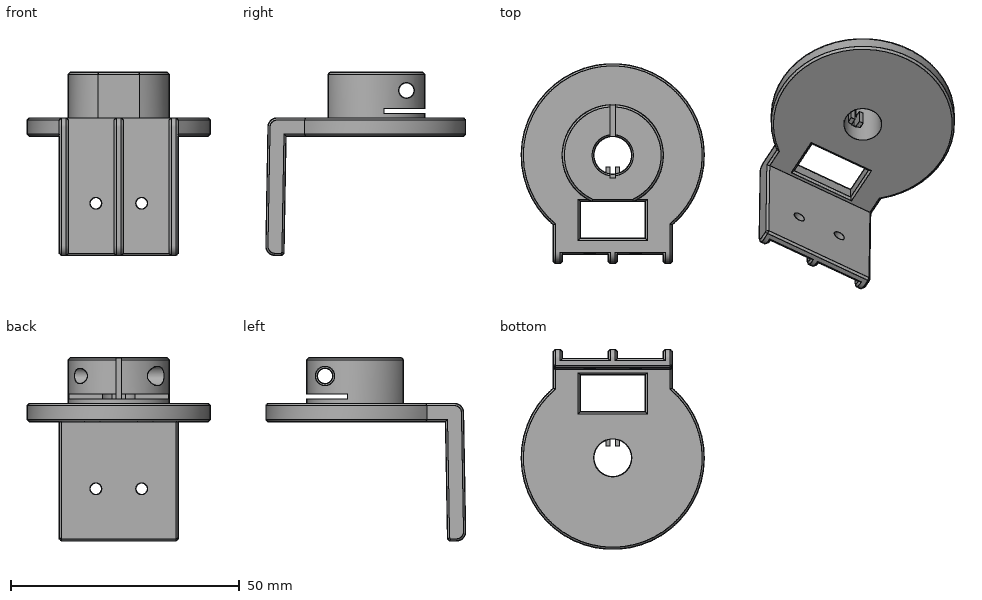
import cadquery as cq
import math

edge_chamfer = 0.5

plate_radius = 20.0
plate_thickness = 4.0

hub_radius = 11.05
hub_height = 10.0
hub_flat_y = -10.1
bore_radius = 4.1
bore_chamfer = 0.4

vertical_slit_width = 1.1
vertical_slit_end_y = -5.0
slit_height = 1.0
slit_floor_z = 1.0
horizontal_slit_end_y = 2.15

screw_y = 7.05
screw_z = 6.0
screw_clearance_diameter = 4.2
screw_tap_diameter = 3.3

key_block_width = 3.0
key_face_y = -2.55
key_top_z = hub_height / 2

window_width = 14.1
window_length = 8.0

arm_width = 26.0
arm_bottom_z = -30.05
arm_lean = math.radians(1)
web_front_y = -21.2
web_thickness = 2.0
rib_height = 2.0
rib_width = 2.0
tail_start_y = -12.0

arm_hole_diameter = 2.5
arm_hole_spacing = 10.0
arm_hole_z = -18.65


def lean_y(y_at_top, z):
    """Y of a leaning arm surface at height z, from its Y at the plate top."""
    return y_at_top + z * math.tan(arm_lean)


def box(x_size, y_min, y_max, z_min, z_max):
    """Box centred on X, between the given Y and Z limits."""
    return (
        cq.Workplane("XY", origin=(0, (y_min + y_max) / 2, z_min))
        .rect(x_size, y_max - y_min)
        .extrude(z_max - z_min)
    )


def cylinder_along_x(diameter, x_start, length):
    """Cylinder on the clamp screw axis."""
    return (
        cq.Workplane("YZ", origin=(x_start, screw_y, screw_z))
        .circle(diameter / 2)
        .extrude(length)
    )


def bracket_slice(front_y, x_centre, width):
    """Bent slice of plate and arm with its front surface at front_y, square at the corners."""
    inner_y = web_front_y + web_thickness
    outline = [
        (tail_start_y, 0),
        (front_y, 0),
        (lean_y(front_y, arm_bottom_z), arm_bottom_z),
        (lean_y(inner_y, arm_bottom_z), arm_bottom_z),
        (lean_y(inner_y, -plate_thickness), -plate_thickness),
        (tail_start_y, -plate_thickness),
    ]
    return (
        cq.Workplane("YZ", origin=(x_centre - width / 2, 0, 0))
        .polyline(outline)
        .close()
        .extrude(width)
    )


def make_web():
    web = bracket_slice(web_front_y, 0, arm_width)
    web = web.faces("<Z").edges("|X").chamfer(edge_chamfer)
    return web.faces("<X or >X").edges().chamfer(edge_chamfer)


def make_rib(x_centre):
    rib = bracket_slice(web_front_y - rib_height, x_centre, rib_width)
    rib = rib.faces("<Z").edges(">Y").chamfer(edge_chamfer)
    rib = rib.faces("<Z").edges("<Y").fillet(rib_height)
    rib = rib.faces(">Z").edges("<Y").fillet(rib_height)
    return rib.faces("<X or >X").edges().chamfer(edge_chamfer)


def window_flare(face_z, depth_z):
    """Flared rim of the window, widest at face_z and ending inside the plate at depth_z."""
    return (
        cq.Workplane("XY", origin=(0, hub_flat_y - window_length / 2, depth_z))
        .rect(window_width, window_length)
        .workplane(offset=face_z - depth_z)
        .rect(window_width + 2 * edge_chamfer, window_length + 2 * edge_chamfer)
        .loft(ruled=True)
    )


def make_window():
    """Cutter for the straight part of the window, flared at the plate bottom."""
    opening = box(window_width, hub_flat_y - window_length, hub_flat_y, -plate_thickness, 0)
    return opening.union(window_flare(-plate_thickness, edge_chamfer - plate_thickness))


def make_hub():
    """Hub with its flat, reaching down through the plate beside the window."""
    hub = (
        cq.Workplane("XY", origin=(0, 0, -plate_thickness))
        .circle(hub_radius)
        .extrude(plate_thickness + hub_height)
    )
    beyond_flat = box(2 * hub_radius, -hub_radius, hub_flat_y, -plate_thickness, hub_height)
    return hub.cut(beyond_flat).faces(">Z").edges().chamfer(edge_chamfer)


def make_bore():
    """Cutter for the bore, flared at the hub top."""
    bore = (
        cq.Workplane("XY", origin=(0, 0, -plate_thickness))
        .circle(bore_radius)
        .extrude(plate_thickness + hub_height)
    )
    flare = (
        cq.Workplane("XY", origin=(0, 0, hub_height - bore_chamfer))
        .circle(bore_radius)
        .workplane(offset=bore_chamfer)
        .circle(bore_radius + bore_chamfer)
        .loft(ruled=True)
    )
    return bore.union(flare)


plate = (
    cq.Workplane("XY", origin=(0, 0, -plate_thickness))
    .circle(plate_radius)
    .extrude(plate_thickness)
    .edges()
    .chamfer(edge_chamfer)
)
body = plate.union(make_web())
rib_offset = (arm_width - rib_width) / 2
for rib_x in (-rib_offset, 0, rib_offset):
    body = body.union(make_rib(rib_x))

body = body.cut(window_flare(0, -edge_chamfer))

arm_holes = (
    cq.Workplane("XZ", origin=(0, tail_start_y, arm_hole_z))
    .pushPoints([(-arm_hole_spacing / 2, 0), (arm_hole_spacing / 2, 0)])
    .circle(arm_hole_diameter / 2)
    .extrude(plate_radius)
)
body = body.cut(arm_holes)

body = body.union(make_hub()).cut(make_window()).cut(make_bore())
key_block = box(key_block_width, vertical_slit_end_y, key_face_y, slit_floor_z, key_top_z)
body = body.union(key_block)

vertical_slit = box(vertical_slit_width, vertical_slit_end_y, hub_radius, slit_floor_z, hub_height)
horizontal_slit = box(
    2 * hub_radius, horizontal_slit_end_y, hub_radius, slit_floor_z, slit_floor_z + slit_height
)
body = body.cut(vertical_slit).cut(horizontal_slit)

clearance_hole = cylinder_along_x(screw_clearance_diameter, -hub_radius, hub_radius)
tapping_hole = cylinder_along_x(screw_tap_diameter, 0, hub_radius)
result = body.cut(clearance_hole).cut(tapping_hole)